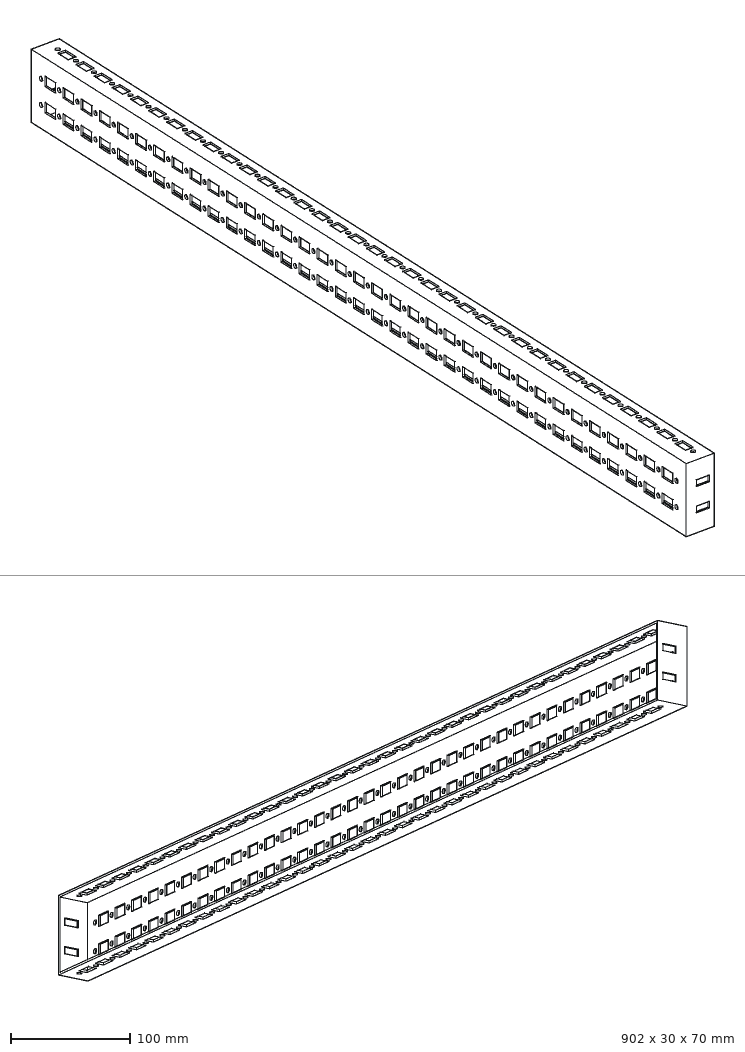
import cadquery as cq

length = 902.0
depth = 30.0
height = 70.0
sheet = 2.0

slot_count = 35
hole_count = slot_count + 1
end_margin = 13.5
pitch = (length - 2 * end_margin) / slot_count
hole_diameter = 4.2
slot_length = 14.0

row_spacing = 25.0
web_slot_width = 10.0

wall_row_y = 2.9
wall_slot_width = 8.0
end_slot_length = 13.5
end_slot_width = 6.0


def tray():
    outer = cq.Workplane("XY").box(length, depth, height)
    cavity = cq.Workplane("XY").box(length - 2 * sheet, depth, height - 2 * sheet)
    return outer.cut(cavity.translate((0, sheet, 0)))


def perforated_row(plane, row_offset, slot_width, reach):
    """Cutter for one row along X, at row_offset in the plane's second axis."""
    row = cq.Workplane(plane).center(0, row_offset)
    slots = row.rarray(pitch, 9, slot_count, 1).rect(slot_length, slot_width).extrude(reach, both=True)
    holes = row.rarray(pitch, 9, hole_count, 1).circle(hole_diameter / 2).extrude(reach, both=True)
    return slots.add(holes).combine()


def end_wall_slots():
    """Cutter for two slots, one above the other, through both end walls."""
    return (
        cq.Workplane("YZ")
        .center(wall_row_y, 0)
        .rarray(9, row_spacing, 1, 2)
        .rect(end_slot_length, end_slot_width)
        .extrude(length, both=True)
    )


result = tray()
for side in (-1, 1):
    result = result.cut(perforated_row("XZ", side * row_spacing / 2, web_slot_width, depth))
result = result.cut(perforated_row("XY", wall_row_y, wall_slot_width, height))
result = result.cut(end_wall_slots())